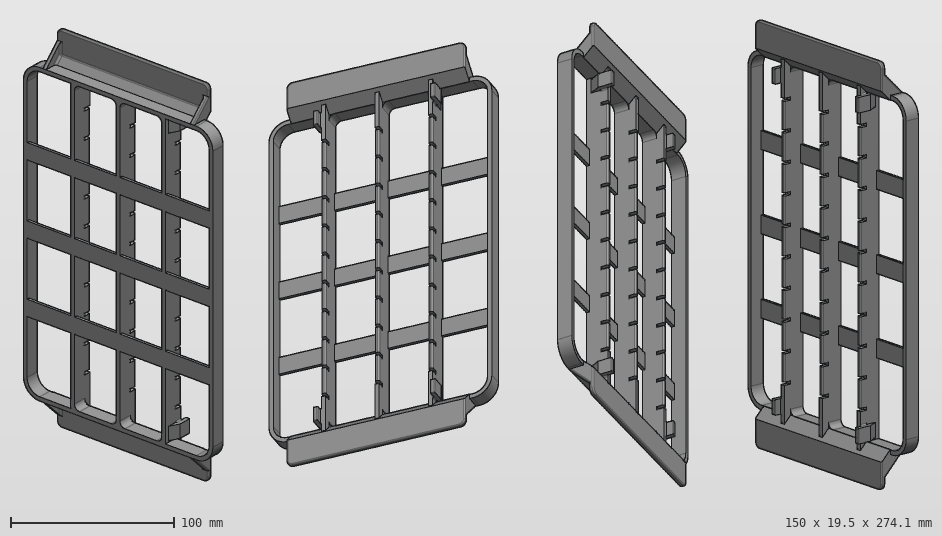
import cadquery as cq
import math

frame_width = 150.0
frame_height = 230.0
frame_depth = 10.0
frame_wall = 3.0
frame_corner_radius = 13.0
opening_width = frame_width - 2 * frame_wall
opening_height = frame_height - 2 * frame_wall
half_opening = opening_height / 2
wall_overlap = frame_wall / 2

column_pitch = opening_width / 4
divider_thickness = 3.0
divider_depth = 15.0
divider_positions = (-column_pitch, 0.0, column_pitch)
divider_edge_radius = 1.0
column_corner_radius = 4.0

notch_count = 10
notch_pitch = 20.2
notch_height = 2.0

bar_pitch = 54.0
bar_height = 12.0
bar_thickness = 2.0

tray_width = 120.0
tray_wall = 3.0
tray_back = 17.0
tray_front = tray_back - tray_wall
overall_height = 274.14
tray_top = overall_height / 2
slope_run = 5.0
tray_corner_radius = 4.0
tray_edge_radius = 0.9
tray_seam_radius = 1.5

shelf_z = frame_height / 2
bend_front_z = shelf_z + slope_run
bend_angle = 45.0
bend_back_z = bend_front_z - tray_wall * math.tan(math.radians(bend_angle / 2))
slope_back_z = bend_back_z - (tray_back - frame_depth)
end_wall_top_z = shelf_z + tray_front

tab_height = 10.0
tab_gap = 1.0
tab_root_radius = 0.8
tab_width = 3.0
tab_reach = 3.5
tab_back = 19.5
tab_root_front = 3.0
tab_ramp_end = 10.0
tab_edge_radius = 0.5

tiny = 0.01


def block(x_range, y_range, z_range):
    """Box given by its limits along each axis."""
    return cq.Workplane("XY").box(
        x_range[1] - x_range[0],
        y_range[1] - y_range[0],
        z_range[1] - z_range[0],
        centered=False,
    ).translate((x_range[0], y_range[0], z_range[0]))


def rounded_slab(width, height, depth, radius):
    """Slab centred in X and Z that starts at Y = 0, with rounded corners."""
    slab = block((-width / 2, width / 2), (0, depth), (-height / 2, height / 2))
    return slab.edges("|Y").fillet(radius)


def make_frame():
    """Rounded rectangular ring."""
    outer = rounded_slab(frame_width, frame_height, frame_depth, frame_corner_radius)
    inner_radius = frame_corner_radius - frame_wall
    inner = rounded_slab(opening_width, opening_height, frame_depth, inner_radius)
    return outer.cut(inner)


def make_cross_bars():
    """Three flat bars flush with the front face."""
    bars = cq.Workplane("XY")
    half_width = opening_width / 2 + wall_overlap
    for middle in (-bar_pitch, 0, bar_pitch):
        z_range = (middle - bar_height / 2, middle + bar_height / 2)
        bars = bars.add(block((-half_width, half_width), (0, bar_thickness), z_range))
    return bars.combine()


def notch_middle(index):
    """Height of a notch centre, counted from the lowest notch."""
    return (index - (notch_count - 1) / 2) * notch_pitch


def make_divider(middle):
    """Upright wall with slanted ends that run behind the frame into the tray slopes.

    The back edges are rounded between the first and the last notch.
    """
    x_range = (middle - divider_thickness / 2, middle + divider_thickness / 2)
    front_end = frame_height / 2 - wall_overlap
    back_end = front_end + divider_depth - frame_depth
    profile = [
        (0, -front_end),
        (0, front_end),
        (frame_depth, front_end),
        (divider_depth, back_end),
        (divider_depth, -back_end),
        (frame_depth, -front_end),
    ]
    divider = cq.Workplane("YZ").polyline(profile).close().extrude(divider_thickness)
    divider = divider.translate((x_range[0], 0, 0))
    for index in range(notch_count):
        z_low = notch_middle(index) - notch_height / 2
        notch = block(x_range, (frame_depth, divider_depth), (z_low, z_low + notch_height))
        divider = divider.cut(notch)
    last_notch = notch_middle(notch_count - 1)
    back_edges = divider.faces(">Y").edges("|Z").edges(
        cq.selectors.BoxSelector(
            (x_range[0] - tiny, 0, -last_notch),
            (x_range[1] + tiny, divider_depth + tiny, last_notch),
        )
    )
    return back_edges.fillet(divider_edge_radius)


def make_corner_fill(corner_x, direction):
    """Rounded upper corner of a column, growing from corner_x along +X or -X."""
    radius = column_corner_radius
    fill = (
        cq.Workplane("XZ")
        .moveTo(corner_x, half_opening)
        .lineTo(corner_x + direction * radius, half_opening)
        .radiusArc((corner_x, half_opening - radius), -direction * radius)
        .close()
        .extrude(-frame_depth)
    )
    return fill


def make_corner_fills():
    """Both upper corners of the middle column on the right."""
    half_divider = divider_thickness / 2
    inner_fill = make_corner_fill(half_divider, 1)
    outer_fill = make_corner_fill(column_pitch - half_divider, -1)
    return inner_fill.union(outer_fill)


def make_tray():
    """Upper tray: plate, sloping wall and the two triangular end walls."""
    half_width = tray_width / 2
    foot_z = shelf_z - wall_overlap
    outline = [
        (0, shelf_z),
        (tray_front, end_wall_top_z),
        (tray_front, tray_top),
        (tray_back, tray_top),
        (tray_back, bend_back_z),
        (frame_depth, slope_back_z),
        (frame_depth, foot_z),
        (0, foot_z),
    ]
    body = cq.Workplane("YZ").polyline(outline).close().extrude(half_width, both=True)
    body = body.edges("|Y and >Z").fillet(tray_corner_radius)
    body = tray_rim(body).fillet(tray_edge_radius)
    return body.cut(make_tray_pocket())


def tray_rim(body):
    """Edges around the plate and along the sloping fronts of the end walls."""
    rim_zone = cq.selectors.BoxSelector(
        (-tray_width, -tiny, bend_back_z + tiny),
        (tray_width, tray_back + tiny, tray_top + tiny),
    )
    concave_edge = cq.selectors.BoxSelector(
        (-tiny, tray_front - tiny, end_wall_top_z - tiny),
        (tiny, tray_front + tiny, end_wall_top_z + tiny),
    )
    return body.edges("not |Y").edges(rim_zone - concave_edge)


def make_tray_pocket():
    """Hollow of a tray, rounded where the slope, plate and end walls meet."""
    pocket_front = -tray_back
    pocket_top = tray_top + tray_back
    outline = [
        (pocket_front, shelf_z),
        (tray_front - slope_run, shelf_z),
        (tray_front, bend_front_z),
        (tray_front, pocket_top),
        (pocket_front, pocket_top),
    ]
    half_width = tray_width / 2 - tray_wall
    pocket = cq.Workplane("YZ").polyline(outline).close().extrude(half_width, both=True)
    seam_zone = cq.selectors.BoxSelector(
        (-tray_width, tray_front - slope_run + tiny, shelf_z + tiny),
        (tray_width, tray_front + tiny, pocket_top - tiny),
    )
    return pocket.edges(seam_zone).fillet(tray_seam_radius)


def make_tab_roots(root_x):
    """Rounded roots above and below a tab, where it leaves the divider."""
    radius = tab_root_radius
    upper = (
        cq.Workplane("XZ", origin=(0, tab_ramp_end, 0))
        .moveTo(root_x, tab_height)
        .lineTo(root_x + radius, tab_height)
        .radiusArc((root_x, tab_height + radius), radius)
        .close()
        .extrude(tab_ramp_end - divider_depth)
    )
    lower = upper.mirror("XY", (0, 0, tab_height / 2))
    return upper.union(lower)


def make_tab():
    """Catch tab on the upper right divider, ramped at the front."""
    root_x = column_pitch + divider_thickness / 2
    outer_x = root_x + tab_reach
    outline = [
        (column_pitch, tab_root_front),
        (root_x, tab_root_front),
        (outer_x, tab_ramp_end),
        (outer_x, tab_back),
        (outer_x - tab_width, tab_back),
        (outer_x - tab_width, divider_depth),
        (column_pitch, divider_depth),
    ]
    tab = cq.Workplane("XY").polyline(outline).close().extrude(tab_height)
    tab = tab.faces(">Y").edges().fillet(tab_edge_radius)
    tab = tab.union(make_tab_roots(root_x))
    return tab.translate((0, 0, half_opening - tab_gap - tab_height))


def both_ends(shape):
    """The shape together with its mirror image at the lower end."""
    return shape.union(shape.mirror("XY"))


def both_sides(shape):
    """The shape together with its mirror image on the left side."""
    return shape.union(shape.mirror("YZ"))


result = make_frame().union(make_cross_bars())
for position in divider_positions:
    result = result.union(make_divider(position))
result = result.union(both_ends(both_sides(make_corner_fills())))
result = result.union(both_ends(make_tray()))
result = result.union(both_ends(both_sides(make_tab())))